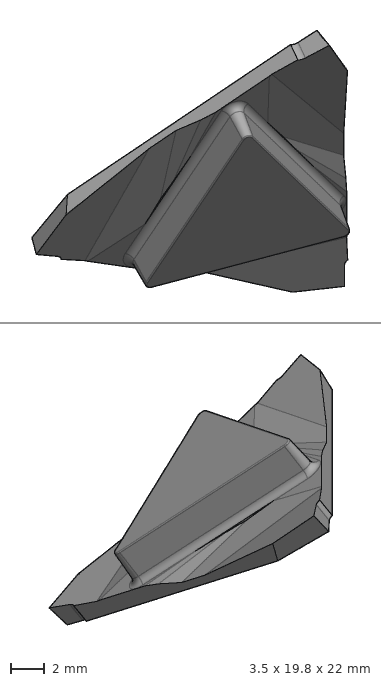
import cadquery as cq
import math

CORNERS = 3
CORNER_TURN = 360 / CORNERS

tip_height = 1.5
land_height = 1.12
edge_distance = 7.104
tip_along = 12.696
tip_across = -0.557

step_start = 8.65
step_length = 0.42
step_depth = 0.216

end_angle = 36.7
end_clearance = 11

rake_angle = 7
groove_outer = 7.12
floor_slope = -0.09
floor_rise = 0.055
wall_start = 5.0
wall_slope = -0.40
wall_fall = -0.045
brow_height = 0.97
brow_slope = -0.25
brow_fall = -0.02

boss_top = 3.5
boss_inradius = 4.06
boss_corner_radius = 0.55
boss_draft = 4
boss_foot_radius = 0.46
boss_root = 0.4
boss_rim_radius = 0.08

BIG = 60
TOUCHING = 1e-4

cos30 = math.cos(math.radians(30))
sin30 = math.sin(math.radians(30))


def plane_point(along, across):
    """YZ coordinates of a point given along and across the first corner's bisector."""
    return (-along, across)


def turned(point, degrees):
    """A YZ point turned about the centre axis."""
    angle = math.radians(degrees)
    y, z = point
    return (
        y * math.cos(angle) - z * math.sin(angle),
        y * math.sin(angle) + z * math.cos(angle),
    )


def around_corners(solid):
    """The solid repeated at all corners."""
    return [solid.rotate((0, 0, 0), (1, 0, 0), CORNER_TURN * i) for i in range(CORNERS)]


def half_space(point, normal):
    """A large block on the side of the plane that the normal points to."""
    plane = cq.Plane(origin=point, normal=normal)
    return cq.Workplane(plane).box(BIG, BIG, BIG, centered=(True, True, False))


def trailing_point(distance, inset):
    """Point on the trailing long side, moved towards the centre by an inset."""
    offset = edge_distance - inset
    return plane_point(offset * sin30 + distance * cos30, distance * sin30 - offset * cos30)


def end_flank_direction():
    """Along and across parts of the direction the end flank faces."""
    angle = math.radians(end_angle)
    return math.cos(angle), math.sin(angle)


def leading_end_point():
    """Where the end cutting edge meets the leading long side, at tip height."""
    face_along, face_across = end_flank_direction()
    face_distance = tip_along * face_along + tip_across * face_across
    determinant = sin30 * face_across - cos30 * face_along
    along = (edge_distance * face_across - cos30 * face_distance) / determinant
    across = (sin30 * face_distance - edge_distance * face_along) / determinant
    return plane_point(along, across)


def make_plate():
    """Plate outline with three stepped corners, at full tip height throughout."""
    step_radius = (step_length**2 + step_depth**2) / (2 * step_depth)
    half_turn = math.atan2(step_depth, step_length)
    step_middle = trailing_point(
        step_start + step_length - step_radius * math.sin(half_turn),
        step_depth - step_radius * (1 - math.cos(half_turn)),
    )
    corner = {
        "step start": trailing_point(step_start, 0),
        "step middle": step_middle,
        "step end": trailing_point(step_start + step_length, step_depth),
        "tip": plane_point(tip_along, tip_across),
        "end": leading_end_point(),
    }
    outline = cq.Workplane("YZ").moveTo(*corner["step start"])
    for i in range(CORNERS):
        at = {name: turned(point, -CORNER_TURN * i) for name, point in corner.items()}
        if i > 0:
            outline = outline.lineTo(*at["step start"])
        outline = outline.threePointArc(at["step middle"], at["step end"])
        outline = outline.lineTo(*at["tip"]).lineTo(*at["end"])
    return outline.close().extrude(tip_height)


def end_flank_cutter():
    """Everything outside the leaning end flank of the first corner."""
    clearance = math.radians(end_clearance)
    face_along, face_across = end_flank_direction()
    normal_y, normal_z = plane_point(
        face_along * math.cos(clearance), face_across * math.cos(clearance)
    )
    tip = (tip_height, *plane_point(tip_along, tip_across))
    return half_space(tip, (-math.sin(clearance), normal_y, normal_z))


def above_slope(along, across, height, slope_out, slope_groove):
    """Everything above a plane through a point, from its slopes outwards and along the groove."""
    slope_along = slope_groove * sin30 + slope_out * cos30
    slope_across = slope_out * sin30 - slope_groove * cos30
    point = (height, *plane_point(along, across))
    normal_y, normal_z = plane_point(-slope_along, -slope_across)
    return half_space(point, (1, normal_y, normal_z))


def leading_side_point(groove_distance):
    """Along and across position on the leading side, at a distance measured across the groove."""
    determinant = cos30**2 - sin30**2
    along = (groove_distance * cos30 - edge_distance * sin30) / determinant
    across = (edge_distance * cos30 - groove_distance * sin30) / determinant
    return along, across


def chip_former_cutters():
    """Cutters that leave the first corner's rake face, groove floor and wall, then its brow."""
    rake_slope = math.tan(math.radians(rake_angle))
    rake = above_slope(
        tip_along, tip_across, tip_height, rake_slope * cos30, rake_slope * sin30
    )

    floor_start = leading_side_point(groove_outer)
    floor_height = tip_height - rake_slope * (tip_along - floor_start[0])
    floor = above_slope(*floor_start, floor_height, floor_slope, floor_rise)
    rake_and_floor = rake.intersect(floor)

    wall_top = leading_side_point(wall_start)
    wall = above_slope(*wall_top, land_height, wall_slope, wall_fall)

    side_slope = wall_slope * sin30 + wall_fall * cos30
    brow_run = (brow_height - land_height) / side_slope
    brow_start = leading_side_point(wall_start + brow_run * sin30)
    brow = above_slope(*brow_start, brow_height, brow_slope, brow_fall)
    return rake_and_floor.intersect(wall), rake_and_floor.intersect(brow)


def land_cutter():
    """Everything above the land, out to where the three rake faces rise from it."""
    rake_run = (tip_height - land_height) / math.tan(math.radians(rake_angle))
    inradius = tip_along - rake_run
    circumradius = inradius / sin30
    land = cq.Workplane("YZ").workplane(offset=land_height)
    return land.polygon(CORNERS, 2 * circumradius).extrude(BIG)


def make_boss():
    """Tapered triangle with one corner pointing along +Z."""
    plane = cq.Workplane("YZ").workplane(offset=land_height)
    circumradius = boss_inradius / sin30
    base = cq.Sketch().regularPolygon(circumradius, CORNERS)
    base = base.vertices().fillet(boss_corner_radius)
    boss = plane.placeSketch(base).extrude(boss_top - land_height, taper=boss_draft)
    return boss.faces(">X").edges().fillet(boss_rim_radius)


def with_rounded_foot(boss):
    """The boss flared out by a fillet where it stands on the land, and rooted below it."""
    floor = cq.Workplane("YZ").circle(2 * edge_distance).extrude(land_height)
    standing = floor.union(boss)
    base = boss.faces("<X").val()
    near_base = [edge for edge in standing.edges().vals() if edge.distance(base) < TOUCHING]
    joint = [edge for edge in near_base if edge.Center().x < land_height + TOUCHING]
    flared = standing.newObject(joint).fillet(boss_foot_radius).cut(floor)
    foot_outline = flared.faces("<X").wires().val()
    root = cq.Workplane("YZ").add(foot_outline).toPending().extrude(-boss_root)
    return flared.union(root)


body = make_plate()
for cutter in around_corners(end_flank_cutter()):
    body = body.cut(cutter)
body = body.cut(land_cutter())
for chip_former in chip_former_cutters():
    for cutter in around_corners(chip_former):
        body = body.cut(cutter)

result = body.union(with_rounded_foot(make_boss()))